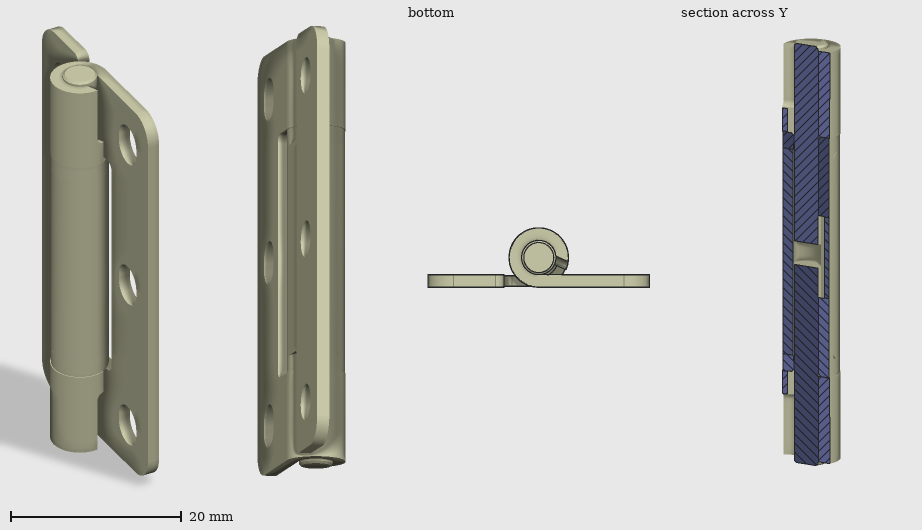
import cadquery as cq
import math


barrel_diameter = 7.0
barrel_radius = barrel_diameter / 2
sheet = 1.5
leaf_front = barrel_radius - sheet
curl_end_angle = 24.0
neck_step = 0.1

half_width = 13.0
leaf_height = 50.0
inner_edge = 4.1
outer_corner_radius = 3.0
inner_corner_radius = 0.95
hole_x = 8.0
hole_pitch = 19.5
hole_diameter = 4.3
slot_length = 5.1
hole_centres = [(hole_x, row * hole_pitch) for row in (-1, 0, 1)]

middle_knuckle_height = 25.1
bush_thickness = 2.0
leaf_end = leaf_height / 2
middle_end = middle_knuckle_height / 2
bush_end = middle_end + bush_thickness

notch_depth = 0.95
notch_length = 7.6
notch_corner_radius = 0.75
notch_mouth_radius = 0.95
notch_reach = 1.1 * barrel_radius
tab_width = 2.0
tab_root_radius = 0.45
bush_radius = barrel_radius - neck_step
bush_hole_chamfer = 0.3

pin_radius = leaf_front
pin_end = 25.5
pin_gap = 2.8
pin_chamfer = 0.25



def box(x_min, x_max, y_min, y_max, z_min, z_max):
    size = (x_max - x_min, y_max - y_min, z_max - z_min)
    return cq.Workplane("XY").box(*size, centered=False).translate((x_min, y_min, z_min))


def ring(inner_radius, outer_radius, z_min, z_max):
    profile = cq.Workplane("XY").workplane(offset=z_min).circle(outer_radius).circle(inner_radius)
    return profile.extrude(z_max - z_min)


def leaf_plate():
    """Flat part of a leaf, from the inner edge outwards."""
    plate = box(inner_edge, half_width, leaf_front, barrel_radius, -leaf_end, leaf_end)
    return plate.edges("|Y and >X").fillet(outer_corner_radius)


def rolled_strip(inner_radius, outer_radius, z_min, z_max):
    """Strip that runs from the inner edge to the axis and rolls around it to its free end."""
    end = math.radians(curl_end_angle)
    halfway = (end - 3 * math.pi / 2) / 2

    def on_circle(radius, angle):
        return (radius * math.cos(angle), radius * math.sin(angle))

    return (
        cq.Workplane("XY")
        .workplane(offset=z_min)
        .moveTo(inner_edge, outer_radius)
        .lineTo(0, outer_radius)
        .threePointArc(on_circle(outer_radius, halfway), on_circle(outer_radius, end))
        .lineTo(*on_circle(inner_radius, end))
        .threePointArc(on_circle(inner_radius, halfway), (0, inner_radius))
        .lineTo(inner_edge, inner_radius)
        .close()
        .extrude(z_max - z_min)
    )


def free_end_plane():
    """Plane facing outwards along the free end: local X leads away from it, local Y is Z."""
    angle = math.radians(curl_end_angle)
    return cq.Plane(
        origin=(0, 0, 0),
        xDir=(-math.sin(angle), math.cos(angle), 0),
        normal=(math.cos(angle), math.sin(angle), 0),
    )


def notch_block(z_mouth, width):
    """Block that reaches notch_depth into the free end and notch_length down from its mouth."""
    left = -notch_depth
    bottom = z_mouth - notch_length
    arc_middle = notch_corner_radius * (1 - math.sqrt(0.5))
    return (
        cq.Workplane(free_end_plane())
        .moveTo(left, z_mouth)
        .lineTo(left, bottom + notch_corner_radius)
        .threePointArc((left + arc_middle, bottom + arc_middle), (left + notch_corner_radius, bottom))
        .lineTo(left + width, bottom)
        .lineTo(left + width, z_mouth)
        .close()
        .extrude(notch_reach)
    )


def corner_web(plane, corner, x_leg, y_leg, depth):
    """Fillet web in the corner of two perpendicular lines, extruded from its plane by depth.

    The signed legs run from the corner along the local X and Y; both are as long as the radius.
    """
    x, y = corner
    arc_middle = 1 - math.sqrt(0.5)
    return (
        cq.Workplane(plane)
        .moveTo(x, y)
        .lineTo(x + x_leg, y)
        .threePointArc((x + arc_middle * x_leg, y + arc_middle * y_leg), (x, y + y_leg))
        .close()
        .extrude(depth)
    )



def make_right_leaf():
    plate = leaf_plate()
    knuckles = rolled_strip(leaf_front, barrel_radius, -leaf_end, leaf_end)
    window = box(-half_width, inner_edge, -half_width, half_width, -bush_end, bush_end)
    window = window.edges("|Y and >X").fillet(inner_corner_radius)
    knuckle_gap = box(-half_width, half_width, -half_width, leaf_front, -bush_end, bush_end)
    leaf = plate.union(knuckles).cut(window).cut(knuckle_gap)

    notch = notch_block(leaf_end, notch_depth)
    leaf = leaf.cut(notch).cut(notch.mirror("XY"))

    slots = (
        cq.Workplane("XZ")
        .pushPoints(hole_centres)
        .slot2D(slot_length, hole_diameter, 90)
        .extrude(-2 * barrel_radius)
    )
    return leaf.cut(slots)



def make_left_leaf():
    inner_radius = leaf_front + neck_step
    outer_radius = barrel_radius - neck_step
    plate = leaf_plate().edges("|Y and <X").fillet(inner_corner_radius)
    knuckle = rolled_strip(inner_radius, outer_radius, -middle_end, middle_end)

    neck_web = corner_web(
        cq.Plane.XZ(origin=(0, inner_radius, 0)),
        (inner_edge, middle_end),
        -inner_corner_radius,
        inner_corner_radius,
        inner_radius - outer_radius,
    )
    notch = notch_block(middle_end, notch_depth)
    mouth = corner_web(
        free_end_plane(),
        (-notch_depth, middle_end),
        -notch_mouth_radius,
        -notch_mouth_radius,
        notch_reach,
    )
    notch = notch.union(mouth)

    leaf = plate.union(knuckle).union(neck_web).union(neck_web.mirror("XY"))
    leaf = leaf.cut(notch).cut(notch.mirror("XY"))
    holes = (
        cq.Workplane("XZ")
        .pushPoints(hole_centres)
        .circle(hole_diameter / 2)
        .extrude(-2 * barrel_radius)
    )
    return leaf.cut(holes).mirror("YZ")



def make_bush():
    """Upper bush: a washer beside the middle knuckle with a tab down into its notch."""
    washer = ring(pin_radius, bush_radius, middle_end, bush_end)
    hole_rim = washer.faces(">Z").edges(cq.selectors.RadiusNthSelector(0))
    washer = hole_rim.chamfer(bush_hole_chamfer)

    root = corner_web(
        free_end_plane(),
        (-notch_depth, middle_end),
        -tab_root_radius,
        -tab_root_radius,
        notch_reach,
    )
    wall = ring(pin_radius, bush_radius, middle_end - notch_length, middle_end)
    neck_space = box(-half_width, half_width, leaf_front, half_width, -leaf_end, leaf_end)
    tab = notch_block(middle_end, tab_width).union(root).intersect(wall).cut(neck_space)
    return washer.union(tab).mirror("YZ")



def make_pin():
    """Upper pin, from the gap at mid-height to just above the leaves."""
    pin = cq.Workplane("XY").workplane(offset=pin_gap / 2).circle(pin_radius)
    pin = pin.extrude(pin_end - pin_gap / 2)
    return pin.faces(">Z").chamfer(pin_chamfer)



right_leaf = make_right_leaf()
left_leaf = make_left_leaf()

bushes = []
pins = []
for upper_half in (True, False):
    bush = make_bush()
    pin = make_pin()
    bushes.append(bush if upper_half else bush.mirror("XY"))
    pins.append(pin if upper_half else pin.mirror("XY"))

result = cq.Compound.makeCompound(
    [right_leaf.val(), left_leaf.val()] + [body.val() for body in bushes + pins]
)